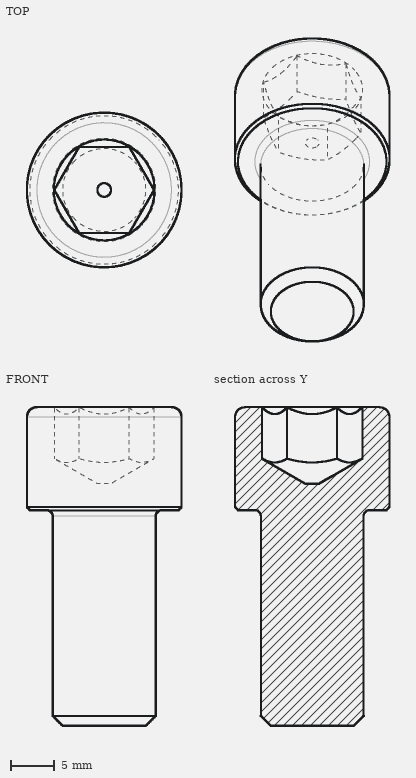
import cadquery as cq
import math

total_length = 37.0
head_diameter = 18.0
shank_diameter = 12.0
head_height = shank_diameter
head_top_fillet = 1.2
head_bottom_chamfer = 0.37
neck_fillet = 0.65
tip_chamfer = 1.2

socket_width = 10.03
socket_depth = 6.0
socket_mouth_diameter = 11.7
socket_mouth_angle = 45.0
socket_floor_diameter = 1.6
socket_floor_angle = 30.0

shank_length = total_length - head_height
socket_corner_diameter = socket_width / math.cos(math.radians(30))


def make_body():
    """Head and shank with rounded, chamfered and filleted edges."""
    head = cq.Workplane("XY").circle(head_diameter / 2).extrude(head_height)
    head = head.faces(">Z").edges().fillet(head_top_fillet)
    head = head.faces("<Z").edges().chamfer(head_bottom_chamfer)
    shank = cq.Workplane("XY").circle(shank_diameter / 2).extrude(-shank_length)
    shank = shank.faces("<Z").edges().chamfer(tip_chamfer)
    underside = head.union(shank).faces("<Z[1]")
    return underside.edges(cq.selectors.RadiusNthSelector(0)).fillet(neck_fillet)


def make_cone(top_z, top_diameter, bottom_diameter, slope_angle):
    """Cone frustum around Z, narrowing downward from top_z."""
    height = (top_diameter - bottom_diameter) / 2 * math.tan(math.radians(slope_angle))
    return cq.Workplane(cq.Solid.makeCone(
        top_diameter / 2, bottom_diameter / 2, height,
        pnt=cq.Vector(0, 0, top_z), dir=cq.Vector(0, 0, -1)))


def make_socket():
    """Hexagonal hole with corners on the X axis, a countersunk mouth and a conical floor."""
    floor_z = head_height - socket_depth
    bore = (cq.Workplane("XY").workplane(offset=floor_z)
            .circle(socket_corner_diameter / 2).extrude(socket_depth))
    floor = make_cone(floor_z, socket_corner_diameter, socket_floor_diameter, socket_floor_angle)
    hexagon = cq.Workplane("XY").polygon(6, socket_corner_diameter).extrude(head_height)
    mouth = make_cone(head_height, socket_mouth_diameter, socket_width, socket_mouth_angle)
    return bore.union(floor).intersect(hexagon).union(mouth)


result = make_body().cut(make_socket())